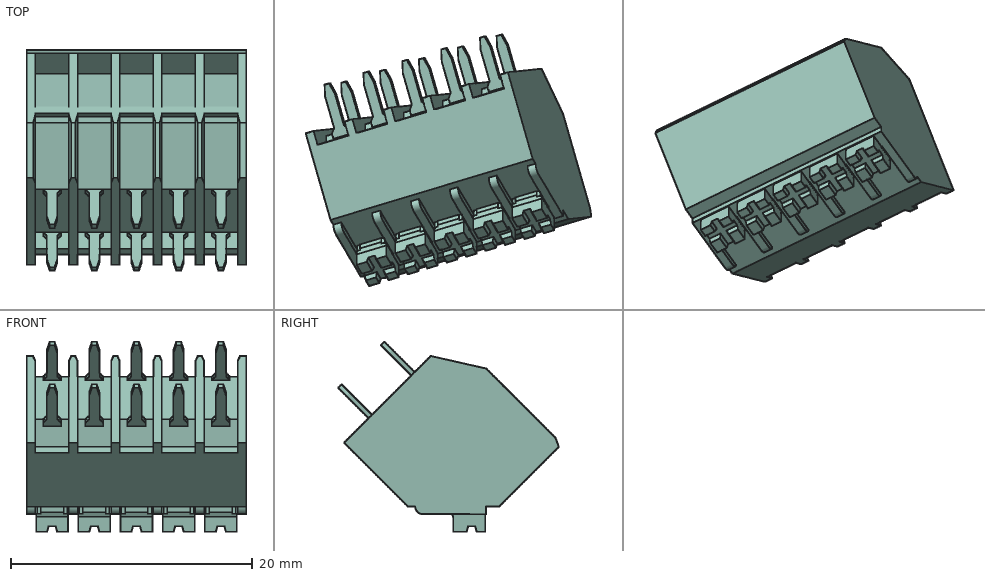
import cadquery as cq
import math


POLES = 5
PITCH = 3.5
WALL = 0.71
CELL = PITCH - WALL
WIDTH = POLES * PITCH + WALL

BACK = -4.17
WIRE_SEAT = -3.15
PIN_FACE = 13.99
PIN_SEAT = 13.22
FRONT_LIP = 12.3
PIN_TIP = 19.02

WIRE_FACE = 14.54
FRONT = -3.4
LIP_INNER = -2.42

BACK_CORNER_Y = 9.12
RIDGE_Y = 3.1
WALL_TOP_Z = 12.49
CELL_TOP_Z = 10.77

FUNNEL_SLOPE = math.tan(math.radians(60))
FUNNEL_LOW_Y = 7.15
BRIDGE_BACK_Y = 4.41
BRIDGE_FRONT_Y = 3.88
GROOVE_Y = 3.57

BEVEL_WIDTH = 0.18
BEVEL_DEPTH = 0.5

FOOT_HEIGHT = 0.65
FOOT_FRONT_Y = -2.8
FOOT_BAR_FRONT_Y = 1.68

PIN_THICKNESS = 0.42
PIN_WIDTH = 0.88
PIN_SPACING = 5.0
SHOULDER_WIDTH = 1.5
SHOULDER_LENGTH = 0.42
TIP_WIDTH = 0.4
TIP_LENGTH = 0.97
PIN_EMBED = 0.92

BUTTON_WIDTH = 2.67
BUTTON_BACK_Y = 3.02
BUTTON_FRONT_Y = 0.35
BUTTON_BOTTOM_Z = -2.1
FLARE_LOW_Z = -0.86
FLARE_TOP_Z = -0.48
FLARE_FRONT_Y = 0.16
SHOULDER_STEP_Z = -0.6
NECK_WIDTH = 2.49
NECK_TONGUE_WIDTH = 1.9
SLOT_CENTER_Y = 1.89
SLOT_DEPTH = 0.45
SLOT_MOUTH = 0.82
SLOT_FLOOR = 0.57

OVERLAP = 0.18
CLEARANCE = 1.83

cell_centers = [(i - (POLES - 1) / 2) * PITCH for i in range(POLES)]
wall_centers = [(i - POLES / 2) * PITCH for i in range(POLES + 1)]


def crossing(rising, falling):
    """(y, z) point where the planes z = y + rising and z = falling - y meet."""
    return (falling - rising) / 2, (falling + rising) / 2


def slab(points, x_center, width):
    """Extrude a closed YZ outline symmetrically about x_center."""
    sketch = cq.Workplane("YZ", origin=(x_center, 0, 0)).polyline(points).close()
    return sketch.extrude(width / 2, both=True)


back_corner = (BACK_CORNER_Y, BACK_CORNER_Y + BACK)
back_shoulder = crossing(WIRE_SEAT, WIRE_FACE)
ridge = (RIDGE_Y, WIRE_FACE - RIDGE_Y)
peak = (WALL_TOP_Z - PIN_FACE, WALL_TOP_Z)
bottom_front = (FRONT, 0)
bottom_back = (-BACK, 0)
seat_top = (CELL_TOP_Z - PIN_SEAT, CELL_TOP_Z)
pin_step = PIN_SPACING / math.sqrt(2)
seat_bottom = (seat_top[0] - pin_step, seat_top[1] - pin_step)


def cell_core():
    """Material between the walls, the same section across the whole width."""
    bridge_back_z = WIRE_FACE - BRIDGE_BACK_Y
    funnel_low_z = bridge_back_z - FUNNEL_SLOPE * (FUNNEL_LOW_Y - BRIDGE_BACK_Y)
    groove_z = CELL_TOP_Z - FUNNEL_SLOPE * (GROOVE_Y - RIDGE_Y)
    pocket_y = seat_bottom[0]
    outline = [
        bottom_back,
        back_corner,
        back_shoulder,
        (FUNNEL_LOW_Y, FUNNEL_LOW_Y + WIRE_SEAT),
        (FUNNEL_LOW_Y, funnel_low_z),
        (BRIDGE_BACK_Y, bridge_back_z),
        (BRIDGE_FRONT_Y, WIRE_FACE - BRIDGE_FRONT_Y),
        (GROOVE_Y, groove_z),
        (RIDGE_Y, CELL_TOP_Z),
        seat_top,
        seat_bottom,
        (pocket_y, LIP_INNER - pocket_y),
        crossing(FRONT_LIP, LIP_INNER),
        crossing(FRONT_LIP, FRONT),
        bottom_front,
    ]
    return slab(outline, 0, WIDTH)


def wall(x_center):
    """One full-height wall with its rounded foot."""
    outline = [
        bottom_back,
        back_corner,
        back_shoulder,
        ridge,
        peak,
        crossing(PIN_FACE, FRONT),
        bottom_front,
    ]
    foot = (
        cq.Workplane("YZ", origin=(x_center - WALL / 2, 0, 0))
        .moveTo(RIDGE_Y, OVERLAP)
        .lineTo(RIDGE_Y, -FOOT_HEIGHT)
        .lineTo(FOOT_FRONT_Y + FOOT_HEIGHT, -FOOT_HEIGHT)
        .radiusArc((FOOT_FRONT_Y, 0), FOOT_HEIGHT)
        .lineTo(FOOT_FRONT_Y, OVERLAP)
        .close()
        .extrude(WALL)
    )
    return slab(outline, x_center, WALL).union(foot)


def foot_bar():
    """Bar across the whole width that closes the back of the gaps between the feet."""
    outline = [
        (RIDGE_Y, OVERLAP),
        (RIDGE_Y, -FOOT_HEIGHT),
        (FOOT_BAR_FRONT_Y, -FOOT_HEIGHT),
        (FOOT_BAR_FRONT_Y, OVERLAP),
    ]
    return slab(outline, 0, WIDTH)


def wall_top_bevel(x_center):
    """Cutter that bevels the two wall tops facing one cell, along the slope from ridge to peak."""
    run_y = peak[0] - ridge[0]
    run_z = peak[1] - ridge[1]
    run = math.hypot(run_y, run_z)
    direction = cq.Vector(0, run_y / run, run_z / run)
    start = cq.Vector(x_center, *ridge) - direction * CLEARANCE
    half_cell = CELL / 2
    return (
        cq.Workplane(cq.Plane(origin=start, xDir=(1, 0, 0), normal=direction))
        .polyline([
            (-half_cell - BEVEL_WIDTH, 0),
            (half_cell + BEVEL_WIDTH, 0),
            (half_cell, -BEVEL_DEPTH),
            (-half_cell, -BEVEL_DEPTH),
        ])
        .close()
        .extrude(run + 2 * CLEARANCE)
    )


def pin(x_center, base):
    """Flat solder pin whose upper side leaves the pin seat at the (y, z) point base."""
    length = (PIN_TIP - PIN_SEAT) / math.sqrt(2)
    half_outline = [
        (SHOULDER_WIDTH / 2, -PIN_EMBED),
        (SHOULDER_WIDTH / 2, 0),
        (PIN_WIDTH / 2, SHOULDER_LENGTH),
        (PIN_WIDTH / 2, length - TIP_LENGTH),
        (TIP_WIDTH / 2, length),
    ]
    mirrored = [(-x, y) for x, y in reversed(half_outline)]
    upper_side = cq.Plane(origin=(x_center, *base), xDir=(-1, 0, 0), normal=(0, 1, 1))
    return cq.Workplane(upper_side).polyline(half_outline + mirrored).close().extrude(-PIN_THICKNESS)


def flare_y(z):
    """Front position of the flared button side at height z."""
    share = (z - FLARE_LOW_Z) / (FLARE_TOP_Z - FLARE_LOW_Z)
    return BUTTON_FRONT_Y + share * (FLARE_FRONT_Y - BUTTON_FRONT_Y)


def button(x_center):
    """Push button with a flared, stepped neck and a cross slot in its lower end."""
    step_y = flare_y(SHOULDER_STEP_Z)
    back_step = (BUTTON_BACK_Y, SHOULDER_STEP_Z)
    front_step = (step_y, SHOULDER_STEP_Z)
    back_top = (BUTTON_BACK_Y, OVERLAP)
    head_outline = [
        (BUTTON_BACK_Y, BUTTON_BOTTOM_Z),
        (BUTTON_FRONT_Y, BUTTON_BOTTOM_Z),
        (BUTTON_FRONT_Y, FLARE_LOW_Z),
        front_step,
        back_step,
    ]
    neck_outline = [back_step, front_step, (step_y, OVERLAP), back_top]
    tongue_outline = [
        back_step,
        front_step,
        (FLARE_FRONT_Y, FLARE_TOP_Z),
        (FLARE_FRONT_Y, OVERLAP),
        back_top,
    ]
    head = slab(head_outline, x_center, BUTTON_WIDTH)
    neck = slab(neck_outline, x_center, NECK_WIDTH)
    tongue = slab(tongue_outline, x_center, NECK_TONGUE_WIDTH)
    return head.union(neck).union(tongue).cut(button_slots(x_center))


def button_slots(x_center):
    """Cutter for the two crossing tapered slots of one button."""
    section = [
        (-SLOT_MOUTH / 2, 0),
        (SLOT_MOUTH / 2, 0),
        (SLOT_FLOOR / 2, SLOT_DEPTH),
        (-SLOT_FLOOR / 2, SLOT_DEPTH),
    ]
    origin = (x_center, SLOT_CENTER_Y, BUTTON_BOTTOM_Z)
    along_y, along_x = [
        cq.Workplane(plane, origin=origin).polyline(section).close().extrude(BUTTON_WIDTH, both=True)
        for plane in ("XZ", "YZ")
    ]
    return along_y.union(along_x)


walls = wall(wall_centers[0])
for x in wall_centers[1:]:
    walls = walls.union(wall(x))
for x in cell_centers:
    walls = walls.cut(wall_top_bevel(x))

result = cell_core().union(walls).union(foot_bar())
for x in cell_centers:
    for base in (seat_top, seat_bottom):
        result = result.union(pin(x, base))
    result = result.union(button(x))